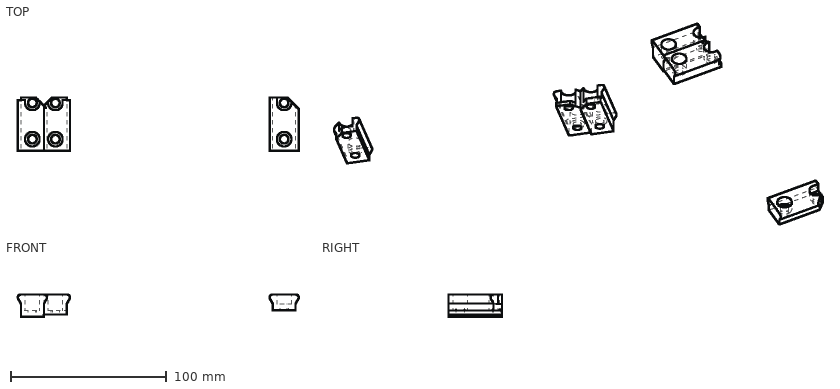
import cadquery as cq
import math

total_width = 180.3
length = 34.5
top_z = 14.5

core_width = 14.8
overhang = 2.0
lip_radius = 2.0
taper_angle = math.radians(30)
left_height = 14.5
right_height = 13.0
far_height = 10.3

hole_diameter = 5.5
counterbore_diameter = 9.4
pair_counterbore_depth = 10.3
far_counterbore_depth = 6.1
front_hole_y = 7.5
back_hole_y = 30.8
corner_chamfer = 7.4
end_notch = 1.8

lip_centre_z = top_z - lip_radius
taper_top_z = lip_centre_z - lip_radius * math.sin(taper_angle)
taper_top_inset = lip_radius * (1 - math.cos(taper_angle))
taper_bottom_z = taper_top_z - (overhang - taper_top_inset) / math.tan(taper_angle)

left_centre_x = overhang + core_width / 2
right_centre_x = left_centre_x + core_width
far_centre_x = total_width - overhang - core_width / 2


def blank(height):
    """Straight bar centred on X = 0 with a rounded, tapered lip on both long edges."""
    half_core = core_width / 2
    half_width = half_core + overhang
    bottom_z = top_z - height
    shoulder_x = half_width - lip_radius
    taper_top_x = half_width - taper_top_inset
    outline = (
        cq.Workplane("XZ")
        .moveTo(-half_core, bottom_z)
        .lineTo(half_core, bottom_z)
        .lineTo(half_core, taper_bottom_z)
        .lineTo(taper_top_x, taper_top_z)
        .threePointArc((half_width, lip_centre_z), (shoulder_x, top_z))
        .lineTo(-shoulder_x, top_z)
        .threePointArc((-half_width, lip_centre_z), (-taper_top_x, taper_top_z))
        .lineTo(-half_core, taper_bottom_z)
        .close()
    )
    return outline.extrude(-length)


def corner_cut():
    """Triangular prism that bevels the back corner on the +X side."""
    edge_x = core_width / 2 + overhang
    return (
        cq.Workplane("XY")
        .moveTo(edge_x, length)
        .lineTo(edge_x - corner_chamfer, length)
        .lineTo(edge_x, length - corner_chamfer)
        .close()
        .extrude(top_z)
    )


def screw_cuts(floor_z):
    """Two counterbored holes; the back counterbore runs out through the end face."""
    centres = [(0, front_hole_y), (0, back_hole_y)]
    depth = top_z - floor_z
    holes = cq.Workplane("XY").pushPoints(centres).circle(hole_diameter / 2).extrude(top_z)
    counterbores = (
        cq.Workplane("XY", origin=(0, 0, floor_z))
        .pushPoints(centres)
        .circle(counterbore_diameter / 2)
        .extrude(depth)
    )
    run_out = cq.Workplane("XY", origin=(0, back_hole_y, floor_z)).box(
        counterbore_diameter, length - back_hole_y, depth, centered=(True, False, False)
    )
    return holes.union(counterbores).union(run_out)


def notch_cut(floor_z):
    """Step in the back end, from the -X edge to the back counterbore."""
    notch_width = core_width / 2 + overhang
    return cq.Workplane("XY", origin=(-notch_width, length - end_notch, floor_z)).box(
        notch_width, end_notch, top_z - floor_z, centered=False
    )


def block(height, counterbore_depth, notched):
    """Clamp block centred on X = 0, bevelled on its +X back corner."""
    floor_z = top_z - counterbore_depth
    body = blank(height).cut(corner_cut()).cut(screw_cuts(floor_z))
    if notched:
        body = body.cut(notch_cut(floor_z))
    return body


left_block = block(left_height, pair_counterbore_depth, notched=True).translate((left_centre_x, 0, 0))

seam_x = (left_centre_x + right_centre_x) / 2
seam_side = cq.Workplane("XY", origin=(seam_x - overhang, 0, 0)).box(
    overhang, length, top_z, centered=False
)
right_block = (
    block(right_height, pair_counterbore_depth, notched=True)
    .mirror("YZ")
    .translate((right_centre_x, 0, 0))
    .cut(seam_side)
    .cut(left_block)
)

far_block = block(far_height, far_counterbore_depth, notched=False).translate((far_centre_x, 0, 0))

result = cq.Compound.makeCompound(
    [left_block.solids().val(), right_block.solids().val(), far_block.solids().val()]
)